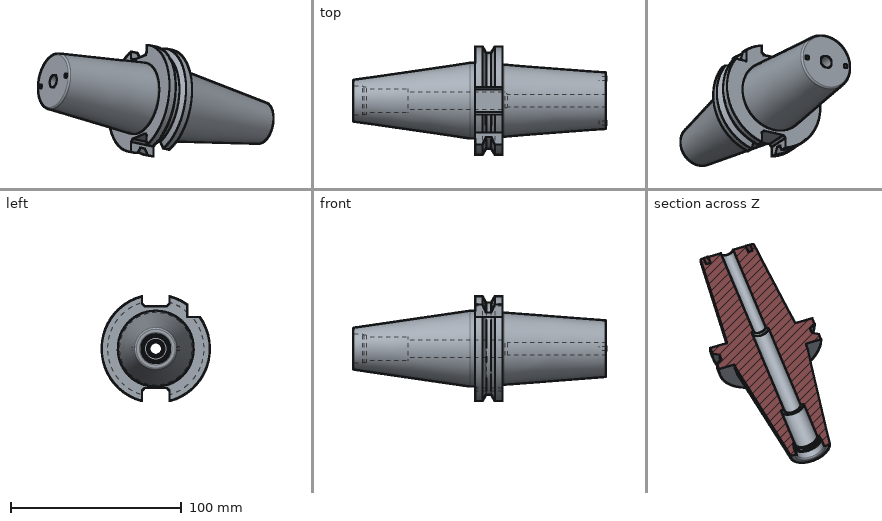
import cadquery as cq
import math

TOTAL_LENGTH = 148.4
PLUG_PROTRUSION = 0.1
HOLDER_LENGTH = TOTAL_LENGTH - PLUG_PROTRUSION

TAPER_LENGTH = 68.4
TAPER_RADIUS = 22.3
TAPER_SLOPE = 7 / 48
TAPER_TIP_RADIUS = TAPER_RADIUS - TAPER_LENGTH * TAPER_SLOPE

FLANGE_START = 71.5
FLANGE_WIDTH = 16.0
FLANGE_END = FLANGE_START + FLANGE_WIDTH
FLANGE_RADIUS = 31.8
GROOVE_CENTRE = 79.4
GROOVE_FILLET = 0.5
GROOVE_DEPTH = 3.5
GROOVE_FLOOR_WIDTH = 3.1
GROOVE_FLANK_ANGLE = 30.0
GROOVE_FLOOR_RADIUS = FLANGE_RADIUS - GROOVE_DEPTH
GROOVE_MOUTH_WIDTH = GROOVE_FLOOR_WIDTH + 2 * GROOVE_DEPTH * math.tan(math.radians(GROOVE_FLANK_ANGLE))

COLLAR_LENGTH = 0.9
NOSE_START_RADIUS = 21.2
NOSE_END_RADIUS = 16.6
END_FILLET = 1.0

SLOT_WIDTH = 16.0
SLOT_CORNER = 1.5
UPPER_SLOT_FLOOR = 25.0
LOWER_SLOT_FLOOR = 23.2
NOTCH_OFFSET = 18.5

COUNTERBORE_RADIUS = 8.5
COUNTERBORE_DEPTH = 5.6
LEAD_IN_LENGTH = 0.7
COUNTERBORE_FILLET = 1.0
THREAD_MAJOR_RADIUS = 8.0
THREAD_RELIEF_DEPTH = 8.0
THREAD_RADIUS = 7.0
THREAD_DEPTH = 32.0
PASSAGE_RADIUS = 5.0
PASSAGE_DEPTH = 89.0
THROUGH_RADIUS = 3.7

PLUG_RADIUS = 1.2
PLUG_LENGTH = 4.5
PLUG_OFFSET = 13.0


def make_blank():
    """Turned outside of the holder."""
    profile = (
        cq.Workplane("XZ")
        .moveTo(0, 0)
        .lineTo(0, TAPER_TIP_RADIUS)
        .lineTo(TAPER_LENGTH, TAPER_RADIUS)
        .lineTo(FLANGE_START, TAPER_RADIUS)
        .lineTo(FLANGE_START, FLANGE_RADIUS)
        .lineTo(GROOVE_CENTRE - GROOVE_MOUTH_WIDTH / 2, FLANGE_RADIUS)
        .lineTo(GROOVE_CENTRE - GROOVE_FLOOR_WIDTH / 2, GROOVE_FLOOR_RADIUS)
        .lineTo(GROOVE_CENTRE + GROOVE_FLOOR_WIDTH / 2, GROOVE_FLOOR_RADIUS)
        .lineTo(GROOVE_CENTRE + GROOVE_MOUTH_WIDTH / 2, FLANGE_RADIUS)
        .lineTo(FLANGE_END, FLANGE_RADIUS)
        .lineTo(FLANGE_END, NOSE_START_RADIUS)
        .lineTo(FLANGE_END + COLLAR_LENGTH, NOSE_START_RADIUS)
        .lineTo(HOLDER_LENGTH, NOSE_END_RADIUS)
        .lineTo(HOLDER_LENGTH, 0)
        .close()
    )
    blank = profile.revolve(360, (0, 0, 0), (1, 0, 0))
    blank = blank.faces("<X or >X").edges().fillet(END_FILLET)
    floor_rims = cq.selectors.BoxSelector(
        (GROOVE_CENTRE - GROOVE_FLOOR_WIDTH, -FLANGE_RADIUS, -FLANGE_RADIUS),
        (GROOVE_CENTRE + GROOVE_FLOOR_WIDTH, FLANGE_RADIUS, FLANGE_RADIUS),
    )
    return blank.edges("%CIRCLE").edges(floor_rims).fillet(GROOVE_FILLET)


def make_slot(floor):
    """Drive slot cutter, opening in +Z, with bevelled floor corners."""
    half = SLOT_WIDTH / 2
    return (
        cq.Workplane("YZ", origin=(FLANGE_START, 0, 0))
        .moveTo(-half, FLANGE_RADIUS)
        .lineTo(-half, floor + SLOT_CORNER)
        .lineTo(-half + SLOT_CORNER, floor)
        .lineTo(half - SLOT_CORNER, floor)
        .lineTo(half, floor + SLOT_CORNER)
        .lineTo(half, FLANGE_RADIUS)
        .close()
        .extrude(FLANGE_WIDTH)
    )


def make_notch():
    """Square orientation notch cutter at the -Y, +Z side of the flange."""
    size = FLANGE_RADIUS - NOTCH_OFFSET
    return cq.Workplane("XY").box(FLANGE_WIDTH, size, size, centered=False).translate(
        (FLANGE_START, -FLANGE_RADIUS, NOTCH_OFFSET)
    )


def make_bore():
    """Stepped bore cutter, from the narrow end right through."""
    profile = (
        cq.Workplane("XZ")
        .moveTo(0, 0)
        .lineTo(0, COUNTERBORE_RADIUS + COUNTERBORE_FILLET)
        .radiusArc((COUNTERBORE_FILLET, COUNTERBORE_RADIUS), -COUNTERBORE_FILLET)
        .lineTo(COUNTERBORE_DEPTH, COUNTERBORE_RADIUS)
        .lineTo(COUNTERBORE_DEPTH + LEAD_IN_LENGTH, THREAD_MAJOR_RADIUS)
        .lineTo(THREAD_RELIEF_DEPTH, THREAD_MAJOR_RADIUS)
        .lineTo(THREAD_RELIEF_DEPTH, THREAD_RADIUS)
        .lineTo(THREAD_DEPTH, THREAD_RADIUS)
        .lineTo(THREAD_DEPTH, PASSAGE_RADIUS)
        .lineTo(PASSAGE_DEPTH, PASSAGE_RADIUS)
        .lineTo(PASSAGE_DEPTH + PASSAGE_RADIUS - THROUGH_RADIUS, THROUGH_RADIUS)
        .lineTo(HOLDER_LENGTH, THROUGH_RADIUS)
        .lineTo(HOLDER_LENGTH, 0)
        .close()
    )
    return profile.revolve(360, (0, 0, 0), (1, 0, 0))


def make_plug(offset):
    """Round plug set into the wide end face at Y = offset."""
    return (
        cq.Workplane("YZ", origin=(TOTAL_LENGTH - PLUG_LENGTH, offset, 0))
        .circle(PLUG_RADIUS)
        .extrude(PLUG_LENGTH)
    )


plugs = [make_plug(side * PLUG_OFFSET) for side in (1, -1)]

holder = make_blank().cut(make_bore()).cut(make_notch()).cut(make_slot(UPPER_SLOT_FLOOR))
holder = holder.cut(make_slot(LOWER_SLOT_FLOOR).rotate((0, 0, 0), (1, 0, 0), 180))
for plug in plugs:
    holder = holder.cut(plug)

result = cq.Compound.makeCompound([holder.val(), *[plug.val() for plug in plugs]])